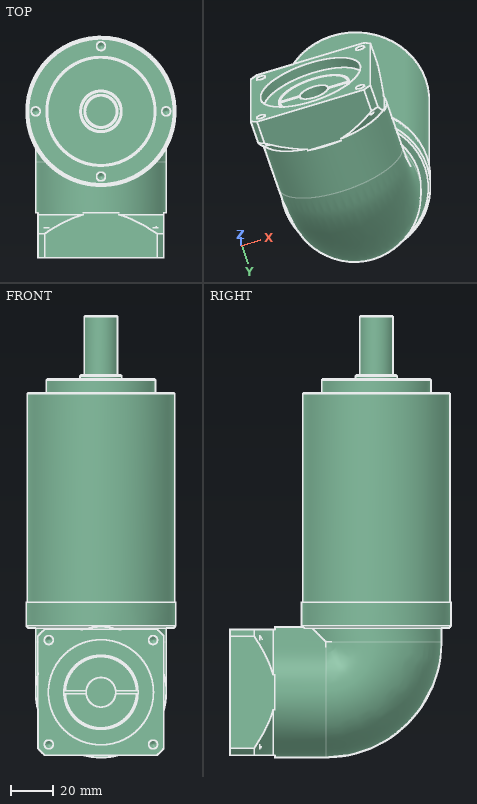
import cadquery as cq
import math


overall_height = 209.7
overall_depth = 105.0

elbow_dia = 62.0
elbow_radius = elbow_dia / 2
bend_offset = 24.0
shaft_end_z = overall_height - elbow_radius
shaft_dia = 16.0
shaft_length = 28.0
collar_dia = 20.0
collar_height = 1.9
pilot_dia = 52.0
pilot_height = 6.5
body_dia = 70.0
body_height = 99.5
ring_dia = 71.0
ring_height = 12.4
edge_chamfer = 0.6
ring_chamfer = 1.0

output_hole_count = 4
output_hole_circle = 61.9
output_hole_depth = 10.5

input_face_y = ring_dia / 2 - overall_depth
flange_side = 59.8
flange_corner_radius = 40.0
flange_rim_depth = 11.5
flange_land = 0.8
flange_hole_spacing = 49.5
flange_hole_depth = 14.3
hole_dia = 4.2
drill_point_angle = 118

recess_dia = 50.0
recess_depth = 5.2
hub_dia = 33.8
hub_gap_dia = 35.2
hub_gap_depth = 2.0
bore_dia = 14.0
bore_depth = 30.0
slot_width = 1.3
slot_depth = 10.0

collar_top_z = shaft_end_z - shaft_length
pilot_top_z = collar_top_z - collar_height
body_top_z = pilot_top_z - pilot_height
ring_top_z = body_top_z - body_height
ring_bottom_z = ring_top_z - ring_height
recess_floor_y = input_face_y + recess_depth
cone_front_y = input_face_y + flange_rim_depth
cone_back_y = cone_front_y + flange_corner_radius - elbow_radius
flange_back_y = cone_back_y + flange_land


def disc(diameter, top_z, height):
    """Cylinder on the output axis, reaching down from top_z."""
    return cq.Workplane("XY").workplane(offset=top_z - height).circle(diameter / 2).extrude(height)


def input_plane(y):
    """Plane across the input axis at y; its normal points to +Y, into the gearbox."""
    return cq.Workplane(cq.Plane(origin=(0, y, 0), xDir=(1, 0, 0), normal=(0, 1, 0)))


def drilled_hole(depth, origin, direction):
    """Blind hole with a conical drill point below its full-diameter depth."""
    radius = hole_dia / 2
    point_length = radius / math.tan(math.radians(drill_point_angle / 2))
    start = cq.Vector(*origin)
    axis = cq.Vector(*direction)
    barrel = cq.Solid.makeCylinder(radius, depth, start, axis)
    point = cq.Solid.makeCone(radius, 0, point_length, start + axis * depth, axis)
    return cq.Workplane(barrel).union(cq.Workplane(point))


def make_output_stack():
    shaft = disc(shaft_dia, shaft_end_z, shaft_length).faces(">Z").chamfer(edge_chamfer)
    collar = disc(collar_dia, collar_top_z, collar_height).faces(">Z").chamfer(edge_chamfer)
    pilot = disc(pilot_dia, pilot_top_z, pilot_height).faces(">Z").chamfer(edge_chamfer)
    body = disc(body_dia, body_top_z, body_height).faces(">Z").chamfer(edge_chamfer)
    ring = disc(ring_dia, ring_top_z, ring_height).faces("<Z").chamfer(ring_chamfer)
    return ring.union(body).union(pilot).union(collar).union(shaft)


def make_elbow():
    section_half_angle = math.acos(bend_offset / elbow_radius)
    section_half_height = elbow_radius * math.sin(section_half_angle)
    bend = (
        cq.Workplane("XY", origin=(0, 0, bend_offset))
        .moveTo(section_half_height, -bend_offset)
        .threePointArc((0, elbow_radius), (-section_half_height, -bend_offset))
        .close()
        .revolve(90, (0, -bend_offset), (-1, -bend_offset))
    )
    neck = disc(elbow_dia, ring_bottom_z, ring_bottom_z - bend_offset)
    tube_length = -bend_offset - flange_back_y
    tube = input_plane(flange_back_y).circle(elbow_radius).extrude(tube_length)
    return bend.union(neck).union(tube)


def make_flange():
    flange_depth = flange_back_y - input_face_y
    block = input_plane(input_face_y).rect(flange_side, flange_side).extrude(flange_depth)
    envelope = (
        cq.Workplane("XY")
        .moveTo(0, input_face_y)
        .lineTo(flange_corner_radius, input_face_y)
        .lineTo(flange_corner_radius, cone_front_y)
        .lineTo(elbow_radius, cone_back_y)
        .lineTo(elbow_radius, flange_back_y)
        .lineTo(0, flange_back_y)
        .close()
        .revolve(360, (0, 0), (0, 1))
    )
    return block.intersect(envelope)


def cut_input_socket(part):
    recess = input_plane(input_face_y).circle(recess_dia / 2).extrude(recess_depth)
    floor = input_plane(recess_floor_y)
    hub_gap = floor.circle(hub_gap_dia / 2).circle(hub_dia / 2).extrude(hub_gap_depth)
    bore = floor.circle(bore_dia / 2).extrude(bore_depth)
    slot = floor.rect(hub_gap_dia, slot_width).extrude(slot_depth)
    return part.cut(recess).cut(hub_gap).cut(bore).cut(slot)


def cut_screw_holes(part):
    for index in range(output_hole_count):
        angle = index * 2 * math.pi / output_hole_count
        x = output_hole_circle / 2 * math.cos(angle)
        y = output_hole_circle / 2 * math.sin(angle)
        part = part.cut(drilled_hole(output_hole_depth, (x, y, body_top_z), (0, 0, -1)))
    for x_side in (-1, 1):
        for z_side in (-1, 1):
            x = x_side * flange_hole_spacing / 2
            z = z_side * flange_hole_spacing / 2
            part = part.cut(drilled_hole(flange_hole_depth, (x, input_face_y, z), (0, 1, 0)))
    return part


gearbox = make_output_stack().union(make_elbow()).union(make_flange())
result = cut_screw_holes(cut_input_socket(gearbox))